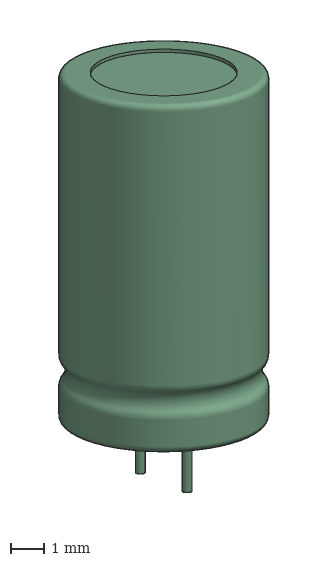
import cadquery as cq
import math

total_height = 13.0
can_diameter = 6.3
long_lead_length = 2.0
short_lead_length = 1.9
lead_diameter = 0.3
lead_spacing = 2.5
rim_radius = 0.2
recess_diameter = 4.41
recess_depth = 0.1

groove_height = 1.59
groove_depth = 0.2
groove_radius = 0.5
blend_radius = 0.3

can_height = total_height - long_lead_length
can_radius = can_diameter / 2


def make_can():
    """Revolve the half profile of the can, including the groove and rounded rims."""
    turn = math.acos(1 - groove_depth / (groove_radius + blend_radius))
    groove_floor = can_radius - groove_depth
    inner_half = groove_radius * math.sin(turn)
    outer_half = inner_half + blend_radius * math.sin(turn)
    join_radius = can_radius - blend_radius * (1 - math.cos(turn))
    blend_mid_radius = can_radius - blend_radius * (1 - math.cos(turn / 2))
    blend_mid_half = outer_half - blend_radius * math.sin(turn / 2)

    profile = (
        cq.Workplane("XZ")
        .lineTo(can_radius, 0)
        .lineTo(can_radius, groove_height - outer_half)
        .threePointArc(
            (blend_mid_radius, groove_height - blend_mid_half),
            (join_radius, groove_height - inner_half),
        )
        .threePointArc(
            (groove_floor, groove_height),
            (join_radius, groove_height + inner_half),
        )
        .threePointArc(
            (blend_mid_radius, groove_height + blend_mid_half),
            (can_radius, groove_height + outer_half),
        )
        .lineTo(can_radius, can_height)
        .lineTo(0, can_height)
        .close()
    )
    can = profile.revolve(360, (0, 0, 0), (0, 1, 0))
    return can.faces("<Z or >Z").edges().fillet(rim_radius)


def make_recess():
    """Shallow round recess in the top face."""
    floor = cq.Workplane("XY").workplane(offset=can_height - recess_depth)
    return floor.circle(recess_diameter / 2).extrude(recess_depth)


def make_lead(x, length):
    """Straight round lead hanging from the underside of the can."""
    return cq.Workplane("XY").center(x, 0).circle(lead_diameter / 2).extrude(-length)


result = (
    make_can()
    .cut(make_recess())
    .union(make_lead(-lead_spacing / 2, long_lead_length))
    .union(make_lead(lead_spacing / 2, short_lead_length))
)